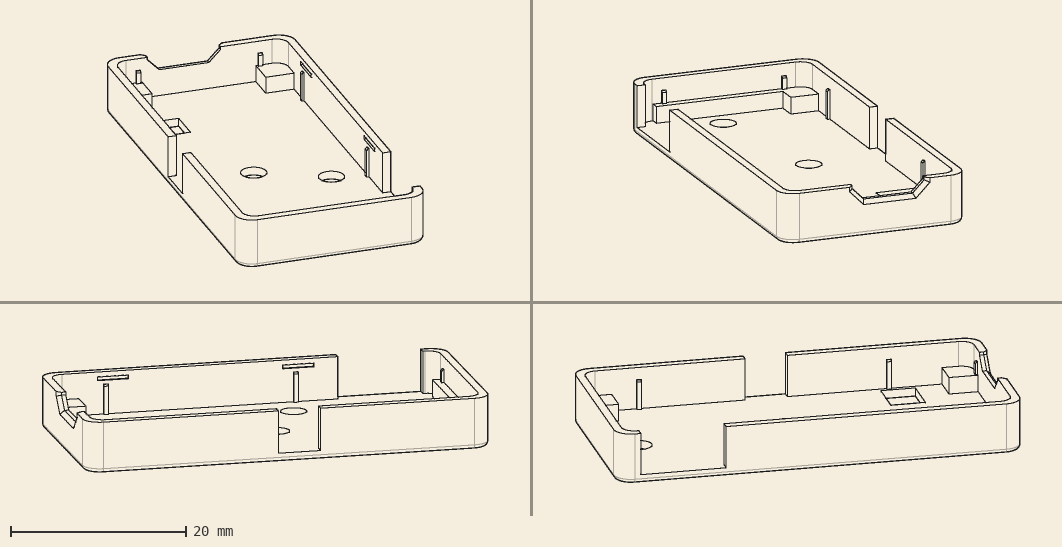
import cadquery as cq
import math

length = 47.6
width = 22.6
height = 6.0
wall = 1.0
floor = 1.0
corner_radius = 2.0
inner_corner_radius = 1.48
bottom_fillet = wall / 2
inner_length = length - 2 * wall
inner_width = width - 2 * wall

support_top = floor + 2.0
pad_size = 3.45
rail_thickness = 1.0
rail_back_y = 8.65

rib_width = 0.5
rib_depth = 0.3
rib_top = 4.5
rib_bevel = 0.2
back_rib_x = (-16.2, 6.15)
front_rib_x = (-13.15, 16.2)
end_rib_y = (-7.4, 7.4)

groove_length = 3.65
groove_height = 0.45
groove_depth = 0.3
groove_middle_z = height - 0.8
groove_x = (-15.35, 6.45)

hole_diameter = 3.0
hole_centers = [(0.9, -1.7), (4.9, 6.3), (19.0, 1.55)]
window_length = 4.05
window_width = 4.95
window_center = (-14.1, -7.3)

front_gap_width = 4.95
front_gap_x = 1.25
back_gap_width = 10.0
back_gap_x = 16.1

notch_y = -1.8
notch_depth = 1.75
notch_bottom_width = 6.0
notch_slope = 1.45
notch_chamfer = wall / 2

overlap = 0.25


def block(x_range, y_range, z_range):
    """Axis-aligned box between the given limits."""
    sides = [high - low for low, high in (x_range, y_range, z_range)]
    corner = (x_range[0], y_range[0], z_range[0])
    return cq.Workplane("XY").box(*sides, centered=False).translate(corner)


def make_shell():
    body = (
        cq.Workplane("XY")
        .rect(length, width)
        .extrude(height)
        .edges("|Z")
        .fillet(corner_radius)
        .faces("<Z")
        .edges()
        .fillet(bottom_fillet)
    )
    return body.cut(make_cavity())


def make_cavity():
    return (
        cq.Workplane("XY")
        .workplane(offset=floor)
        .rect(inner_length, inner_width)
        .extrude(height)
        .edges("|Z")
        .fillet(inner_corner_radius)
    )


def make_supports():
    """Three corner pads and the rail along the right wall, trimmed to the cavity."""
    z_range = (floor, support_top)
    half_length = inner_length / 2
    half_width = inner_width / 2
    left = (-half_length, -half_length + pad_size)
    right = (half_length - pad_size, half_length)
    front = (-half_width, -half_width + pad_size)
    back = (half_width - pad_size, half_width)
    supports = block((half_length - rail_thickness, half_length), (-half_width, rail_back_y), z_range)
    for x_range, y_range in ((left, front), (left, back), (right, front)):
        supports = supports.add(block(x_range, y_range, z_range))
    return supports.combine().intersect(make_cavity())


def make_rib(x, y, turn):
    """Vertical rib with a bevelled top; at turn 0 it stands out along +X from (x, y)."""
    return (
        cq.Workplane("XZ")
        .moveTo(-overlap, floor - overlap)
        .lineTo(rib_depth, floor - overlap)
        .lineTo(rib_depth, rib_top - rib_bevel)
        .lineTo(rib_depth - rib_bevel, rib_top)
        .lineTo(-overlap, rib_top)
        .close()
        .extrude(rib_width / 2, both=True)
        .rotate((0, 0, 0), (0, 0, 1), turn)
        .translate((x, y, 0))
    )


def make_ribs():
    ribs = []
    for y in end_rib_y:
        ribs.append(make_rib(-inner_length / 2, y, 0))
        ribs.append(make_rib(inner_length / 2, y, 180))
    for x in front_rib_x:
        ribs.append(make_rib(x, -inner_width / 2, 90))
    for x in back_rib_x:
        ribs.append(make_rib(x, inner_width / 2, -90))
    return ribs


def make_groove(x):
    return cq.Workplane("XY").box(groove_length, 2 * groove_depth, groove_height).translate(
        (x, inner_width / 2, groove_middle_z)
    )


def make_wall_gap(x, gap_width, side):
    """Gap through the back wall (side 1) or the front wall (side -1)."""
    return (
        cq.Workplane("XY")
        .box(gap_width, wall + 2 * overlap, height, centered=(True, True, False))
        .translate((x, side * (width - wall) / 2, floor))
    )


def make_notch():
    """Notch through the left wall; its outer half flares out at 45 degrees."""
    slope_shift = math.tan(math.radians(22.5))

    def section(grow):
        bottom_half = notch_bottom_width / 2 + grow * slope_shift
        top_half = notch_bottom_width / 2 + notch_slope + grow
        bottom_z = height - notch_depth - grow
        slope_top_z = bottom_z + top_half - bottom_half
        top_z = height + overlap
        right_side = [(bottom_half, bottom_z), (top_half, slope_top_z), (top_half, top_z)]
        left_side = [(-y, z) for y, z in reversed(right_side)]
        return right_side + left_side

    def section_wire(x, grow):
        points = [cq.Vector(x, notch_y + y, z) for y, z in section(grow)]
        return cq.Wire.makePolygon(points, close=True)

    outer_x = -length / 2
    flare_end_x = outer_x + notch_chamfer
    inner_x = outer_x + wall + overlap
    wide_end = section_wire(outer_x, notch_chamfer)
    flare = cq.Solid.makeLoft([wide_end, section_wire(flare_end_x, 0)], True)
    throat = cq.Solid.makeLoft([section_wire(flare_end_x, 0), section_wire(inner_x, 0)], True)
    return cq.Workplane(flare).union(cq.Workplane(throat))


result = make_shell().union(make_supports())
for rib in make_ribs():
    result = result.union(rib)

for x in groove_x:
    result = result.cut(make_groove(x))

result = result.cut(make_wall_gap(front_gap_x, front_gap_width, -1))
result = result.cut(make_wall_gap(back_gap_x, back_gap_width, 1))
result = result.cut(make_notch())

holes = cq.Workplane("XY").pushPoints(hole_centers).circle(hole_diameter / 2).extrude(height)
window = cq.Workplane("XY").center(*window_center).rect(window_length, window_width).extrude(height)
result = result.cut(holes).cut(window)